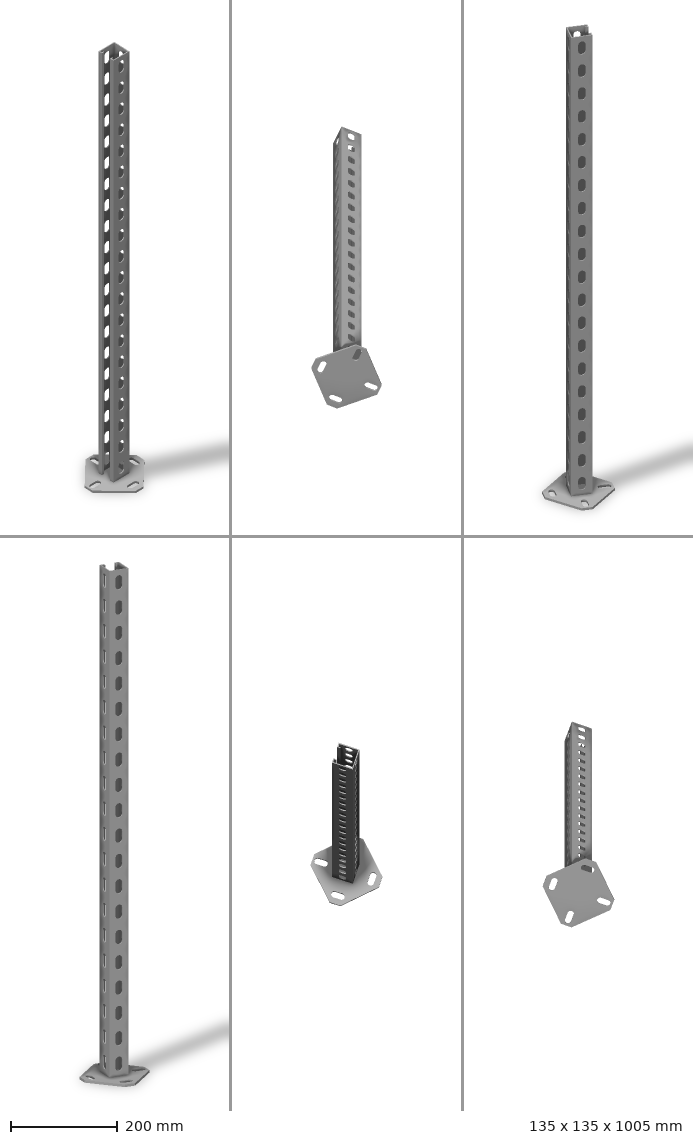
import cadquery as cq

total_height = 1005.0

plate_width = 135.0
plate_thickness = 5.0
plate_corner_flat = 21.0
plate_slot_length = 26.0
plate_slot_width = 12.0
plate_slot_radius = 50.0

channel_width = 40.0
channel_depth = 41.0
channel_center_y = -1.5
wall = 2.0
lip_width = 9.0
lip_depth = 6.0
channel_length = total_height - plate_thickness
channel_back_y = channel_center_y + channel_depth / 2

slot_count = 20
slot_pitch = channel_length / slot_count
slot_length = 28.0
slot_width = 14.0

ALONG_FIRST_AXIS = 0
ALONG_SECOND_AXIS = 90


def make_base_plate():
    half = plate_width / 2
    half_flat = plate_corner_flat / 2
    plate = (
        cq.Workplane("XY")
        .polyline([
            (half, -half_flat), (half, half_flat), (half_flat, half), (-half_flat, half),
            (-half, half_flat), (-half, -half_flat), (-half_flat, -half), (half_flat, -half),
        ])
        .close()
        .extrude(plate_thickness)
    )
    slots = [
        (plate_slot_radius, 0, ALONG_SECOND_AXIS),
        (0, plate_slot_radius, ALONG_FIRST_AXIS),
        (-plate_slot_radius, 0, ALONG_FIRST_AXIS),
        (0, -plate_slot_radius, ALONG_SECOND_AXIS),
    ]
    for x, y, angle in slots:
        cutter = (
            cq.Workplane("XY")
            .center(x, y)
            .slot2D(plate_slot_length, plate_slot_width, angle)
            .extrude(plate_thickness)
        )
        plate = plate.cut(cutter)
    return plate


def make_channel_section():
    """Extrude the plain C section, standing on the base plate."""
    outer_x = channel_width / 2
    inner_x = outer_x - wall
    lip_x = outer_x - lip_width
    front_y = channel_back_y - channel_depth
    right_half = [
        (outer_x, channel_back_y),
        (outer_x, front_y),
        (lip_x, front_y),
        (lip_x, front_y + lip_depth),
        (lip_x + wall, front_y + lip_depth),
        (lip_x + wall, front_y + wall),
        (inner_x, front_y + wall),
        (inner_x, channel_back_y - wall),
    ]
    left_half = [(-x, y) for x, y in reversed(right_half)]
    return (
        cq.Workplane("XY")
        .workplane(offset=plate_thickness)
        .polyline(right_half + left_half)
        .close()
        .extrude(channel_length)
    )


def make_channel():
    channel = make_channel_section()
    slot_heights = [plate_thickness + (i + 0.5) * slot_pitch for i in range(slot_count)]

    web_slots = (
        cq.Workplane("XZ", origin=(0, channel_back_y, 0))
        .pushPoints([(0, z) for z in slot_heights])
        .slot2D(slot_length, slot_width, ALONG_SECOND_AXIS)
        .extrude(wall)
    )
    side_slots = (
        cq.Workplane("YZ")
        .pushPoints([(channel_center_y, z) for z in slot_heights])
        .slot2D(slot_length, slot_width, ALONG_SECOND_AXIS)
        .extrude(channel_width / 2, both=True)
    )
    return channel.cut(web_slots).cut(side_slots)


base_plate = make_base_plate()
channel = make_channel()

result = cq.Compound.makeCompound([base_plate.val(), channel.val()])